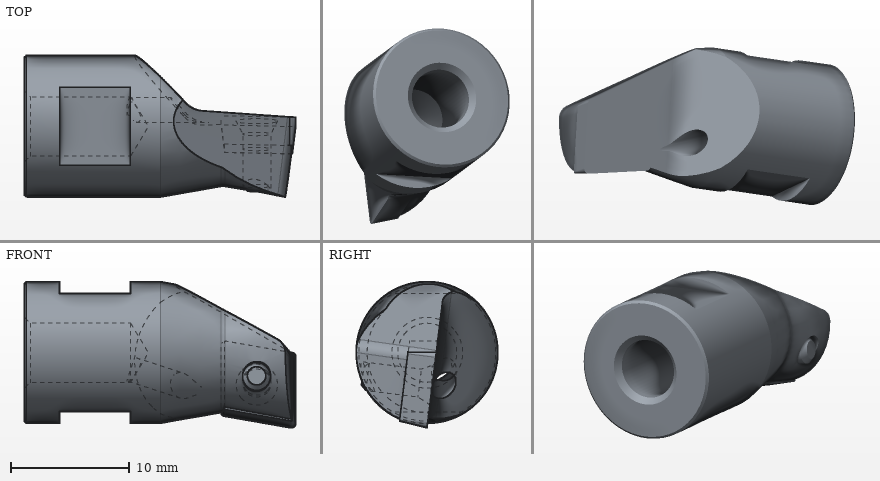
import cadquery as cq
import math

total_length = 23.0
shank_radius = 6.0
shank_length = 11.5
rim_chamfer = 0.2

flat_start = 3.0
flat_length = 6.0
flat_height = 5.0

bore_radius = 2.5
bore_mouth_radius = 3.0
bore_depth = 9.0
drill_point_angle = 118.0

coolant_radius = 1.05
coolant_side = 1.4
coolant_start = (9.0, -1.38)
coolant_angle = 18.0
coolant_length = 8.0

neck_x = 16.8
neck_taper = 10.0
neck_blend_radius = 1.0

top_slope = 30.0
top_tilt = 4.0
top_plane_x = 20.0
top_plane_rise = 7.92
nose_blend_radius = 1.3

rake_tilt = 7.0
tip_z = -6.38
flute_wall_angle = 47.0
flute_foot_x = 14.2
flute_blend_radius = 2.0
flank_recess = 0.08
margin = 15.0

insert_edge = 6.45
insert_corner_angle = 80.0
insert_thickness = 2.38
insert_clearance = 7.0
insert_nose_radius = 0.4

screw_radius = 1.19
screw_head_radius = 1.75
screw_head_height = 1.1
screw_tip_radius = 0.78
screw_tip_chamfer = 0.42
screw_length = 5.95
screw_offset = 0.15

tilt_sin = math.sin(math.radians(rake_tilt))
tilt_cos = math.cos(math.radians(rake_tilt))
rake_origin = (0, 0, tip_z)
rake_up = (0, tilt_sin, tilt_cos)
into_seat = (0, -tilt_cos, tilt_sin)
rake_plane = cq.Plane(origin=rake_origin, xDir=(1, 0, 0), normal=into_seat)
top_lean = math.radians(top_tilt)
top_plane = cq.Plane(origin=rake_origin, xDir=(1, 0, 0), normal=(0, -math.cos(top_lean), math.sin(top_lean)))
flute_plane = cq.Plane(origin=rake_origin, xDir=(1, 0, 0), normal=rake_up)


def make_blank():
    """Turned shank with a waisted head."""
    taper = math.tan(math.radians(neck_taper))
    neck_radius = shank_radius - (neck_x - shank_length) * taper
    end_radius = neck_radius + (total_length - neck_x) * taper
    half_blend = neck_blend_radius * math.sin(math.radians(neck_taper))
    blend_edge_radius = neck_radius + half_blend * taper
    blend_sag = neck_blend_radius * (1 - math.cos(math.radians(neck_taper)))
    blend_middle = (neck_x, blend_edge_radius - blend_sag)
    profile = (
        cq.Workplane("XY")
        .moveTo(0, 0)
        .lineTo(0, shank_radius - rim_chamfer)
        .lineTo(rim_chamfer, shank_radius)
        .lineTo(shank_length, shank_radius)
        .lineTo(neck_x - half_blend, blend_edge_radius)
        .threePointArc(blend_middle, (neck_x + half_blend, blend_edge_radius))
        .lineTo(total_length, end_radius)
        .lineTo(total_length, 0)
        .close()
    )
    return profile.revolve(360, (0, 0, 0), (1, 0, 0))


def make_head_envelope():
    """Space left by the chip flute, the end flank and the sloping top."""
    wall_run = margin / math.tan(math.radians(flute_wall_angle))
    end_x = total_length - flank_recess
    end_shift = margin * math.tan(math.radians(insert_clearance))
    envelope = (
        cq.Workplane(flute_plane)
        .moveTo(-margin, -margin)
        .lineTo(-margin, margin)
        .lineTo(flute_foot_x - wall_run, margin)
        .lineTo(flute_foot_x, 0)
        .lineTo(end_x, 0)
        .lineTo(end_x - end_shift, -margin)
        .close()
        .extrude(margin, both=True)
    )
    foot = (flute_foot_x, 0, tip_z)
    envelope = envelope.edges(cq.NearestToPointSelector(foot)).fillet(flute_blend_radius)

    slope = math.tan(math.radians(top_slope))
    left_x = -margin
    right_x = total_length + margin
    below_top = (
        cq.Workplane(top_plane)
        .moveTo(left_x, -margin)
        .lineTo(left_x, top_plane_rise + (top_plane_x - left_x) * slope)
        .lineTo(right_x, top_plane_rise - (right_x - top_plane_x) * slope)
        .lineTo(right_x, -margin)
        .close()
        .extrude(margin, both=True)
    )
    envelope = envelope.intersect(below_top)
    nose_x = end_x - end_shift / 2
    nose_rise = top_plane_rise - (nose_x - top_plane_x) * slope
    nose = top_plane.toWorldCoords((nose_x, nose_rise, margin / 2))
    return envelope.edges(cq.NearestToPointSelector(nose.toTuple())).fillet(nose_blend_radius)


def make_wrench_flats():
    """Two blocks that leave parallel flats on the shank."""
    cutters = cq.Workplane("XY")
    for side in (-1, 1):
        block = cq.Workplane("XY").box(flat_length, 2 * margin, margin)
        place = (flat_start + flat_length / 2, 0, side * (flat_height + margin / 2))
        cutters = cutters.add(block.translate(place))
    return cutters.combine()


def make_bore():
    """Blind bore with a countersunk mouth and a drill point."""
    point_depth = bore_radius / math.tan(math.radians(drill_point_angle / 2))
    return (
        cq.Workplane("XY")
        .moveTo(0, 0)
        .lineTo(0, bore_mouth_radius)
        .lineTo(bore_mouth_radius - bore_radius, bore_radius)
        .lineTo(bore_depth, bore_radius)
        .lineTo(bore_depth + point_depth, 0)
        .close()
        .revolve(360, (0, 0, 0), (1, 0, 0))
    )


def make_coolant_hole():
    """Sloping hole from the bore end out through the flute wall."""
    angle = math.radians(coolant_angle)
    start = cq.Vector(coolant_start[0], coolant_side, coolant_start[1])
    direction = cq.Vector(math.cos(angle), 0, -math.sin(angle))
    return cq.Workplane(cq.Solid.makeCylinder(coolant_radius, coolant_length, start, direction))


def insert_corners():
    """Sharp corners of the rhombic insert in the rake frame, lowest right one first."""
    lean = math.radians(90 - insert_corner_angle)
    nose_drop = insert_nose_radius * (math.tan(lean) + 1 / math.cos(lean) - 1)
    run = insert_edge * math.cos(lean)
    rise = insert_edge * math.sin(lean)
    x = total_length
    y = -nose_drop
    return [(x, y), (x, y + insert_edge), (x - run, y + insert_edge + rise), (x - run, y + rise)]


def insert_centre():
    corners = insert_corners()
    return ((corners[0][0] + corners[2][0]) / 2, (corners[0][1] + corners[2][1]) / 2)


def make_insert_blank():
    """Rhombic plate with rounded corners and clearance on all flanks."""
    corners = insert_corners()
    outline = cq.Sketch().polygon(corners + corners[:1]).vertices().fillet(insert_nose_radius)
    return cq.Workplane(rake_plane).placeSketch(outline).extrude(insert_thickness, taper=insert_clearance)


def screw_frame():
    """Frame at the screw head, looking into the seat."""
    centre_x, centre_y = insert_centre()
    head_centre = rake_plane.toWorldCoords((centre_x - screw_offset, centre_y))
    return cq.Plane(head_centre, (1, 0, 0), into_seat)


def make_screw():
    """Countersunk clamping screw along the insert axis, flush with the rake face."""
    profile = (
        cq.Workplane("XY")
        .moveTo(0, 0)
        .lineTo(screw_head_radius, 0)
        .lineTo(screw_radius, screw_head_height)
        .lineTo(screw_radius, screw_length - screw_tip_chamfer)
        .lineTo(screw_tip_radius, screw_length)
        .lineTo(0, screw_length)
        .close()
        .revolve(360, (0, 0, 0), (0, 1, 0))
    )
    upright = profile.rotate((0, 0, 0), (1, 0, 0), 90)
    return cq.Workplane(upright.val().moved(cq.Location(screw_frame())))


def make_screw_hole():
    """Straight hole through the holder, matching the screw thread."""
    return cq.Workplane(screw_frame()).circle(screw_radius).extrude(margin)


screw = make_screw()
insert_blank = make_insert_blank()
insert = insert_blank.cut(screw)

holder = make_blank().intersect(make_head_envelope())
holder = holder.cut(make_wrench_flats())
holder = holder.cut(make_bore())
holder = holder.cut(make_coolant_hole())
holder = holder.cut(insert_blank)
holder = holder.cut(make_screw_hole())

result = cq.Compound.makeCompound([holder.val(), insert.val(), screw.val()])